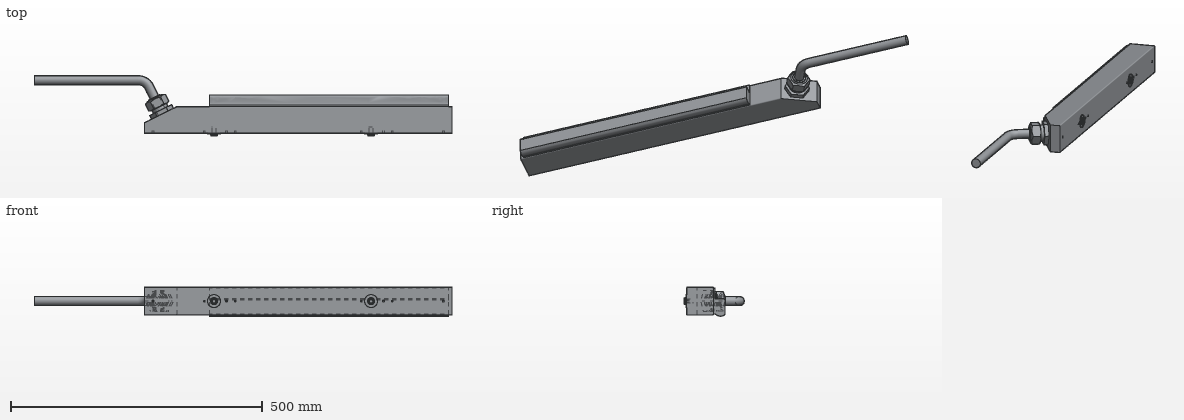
import cadquery as cq
import math


housing_length = 611.0
housing_depth = 53.0
housing_height = 55.5
housing_edge_radius = 2.1
end_face_depth = 21.0
bevel_angle = 26.5

screw_positions = [138.0, 450.0]
washer_diameter = 26.0
washer_thickness = 2.0
head_diameter = 14.0
head_top_diameter = 12.0
head_height = 3.0
socket_across_flats = 7.0
socket_depth = 2.0
shank_diameter = 7.5
shank_length = 12.5

end_hole_inset = 17.0
marker_hole_diameter = 3.7
marker_hole_offset = 25.0
pilot_hole_diameter = 3.1
pilot_hole_offsets = [-19.0, 42.0]
small_hole_depth = 4.0

strip_start = 129.0
strip_length = 475.0
foot_thickness = 3.0
foot_height = 51.0
strip_depth = 23.0
lip_root_top = 5.0
lip_root_bottom = foot_height / -2
lip_edge_top = 2.5
lip_edge_bottom = -26.5
lip_waist = 4.0
lip_crest = 5.0
lip_belly = -30.0

cable_diameter = 18.0
cable_start = -218.0
cable_center_depth = 105.0
bend_radius = 24.0
base_across_flats = 42.0
base_height = 8.0
neck_diameter = 32.0
neck_height = 7.0
nut_across_flats = 39.0
nut_height = 20.0
nut_front_rim_diameter = 33.0
nut_back_rim_diameter = 37.0
nut_chamfer_angle = 30
nut_collar_diameter = 26.0
nut_collar_height = 2.0

bevel_rise = housing_depth - end_face_depth
bevel_run = bevel_rise / math.tan(math.radians(bevel_angle))
turn = math.radians(90 - bevel_angle)
axis_x = -math.sin(math.radians(bevel_angle))
axis_y = math.cos(math.radians(bevel_angle))
gland_along_bevel = 0.56
gland_x = gland_along_bevel * bevel_run
gland_y = end_face_depth + gland_along_bevel * bevel_rise
gland_plane = cq.Plane(origin=(gland_x, gland_y, 0), xDir=(0, 0, 1), normal=(axis_x, axis_y, 0))


def front_plane(x, y=0.0):
    """Plane facing -Y at the given place along the housing."""
    return cq.Plane(origin=(x, y, 0), xDir=(1, 0, 0), normal=(0, -1, 0))


def make_hex(across_flats, height, offset):
    """Hexagonal prism on the gland axis, with flats at its top and bottom."""
    across_corners = across_flats / math.cos(math.radians(30))
    hexagon = cq.Workplane(gland_plane).workplane(offset=offset).transformed(rotate=(0, 0, 30))
    return hexagon.polygon(6, across_corners).extrude(height)


def front_hole(x, diameter, depth):
    return cq.Workplane(front_plane(x)).circle(diameter / 2).extrude(-depth)


def make_housing():
    body = (
        cq.Workplane("XY")
        .box(housing_length, housing_depth, housing_height, centered=(False, False, True))
        .edges("|X")
        .fillet(housing_edge_radius)
    )
    bevel = (
        cq.Workplane("XY")
        .moveTo(0, end_face_depth)
        .lineTo(bevel_run, housing_depth)
        .lineTo(0, housing_depth)
        .close()
        .extrude(housing_height, both=True)
    )
    body = body.cut(bevel)
    for x in [end_hole_inset, housing_length - end_hole_inset]:
        body = body.cut(front_hole(x, marker_hole_diameter, small_hole_depth))
    for x in screw_positions:
        body = body.cut(front_hole(x, shank_diameter, shank_length))
        body = body.cut(front_hole(x + marker_hole_offset, marker_hole_diameter, small_hole_depth))
        for offset in pilot_hole_offsets:
            body = body.cut(front_hole(x + offset, pilot_hole_diameter, small_hole_depth))
    return body


def make_washer(x):
    return (
        cq.Workplane(front_plane(x))
        .circle(washer_diameter / 2)
        .circle(shank_diameter / 2)
        .extrude(washer_thickness)
    )


def make_screw(x):
    """Socket screw: chamfered head on the washer, shank through it into the housing."""
    head_seat = front_plane(x, -washer_thickness)
    head = (
        cq.Workplane(head_seat)
        .circle(head_diameter / 2)
        .extrude(head_height)
        .faces("<Y")
        .chamfer((head_diameter - head_top_diameter) / 2)
    )
    shank = cq.Workplane(head_seat).circle(shank_diameter / 2).extrude(-washer_thickness - shank_length)
    socket = (
        cq.Workplane(head_seat)
        .workplane(offset=head_height)
        .polygon(6, socket_across_flats / math.cos(math.radians(30)))
        .extrude(-socket_depth)
    )
    return head.union(shank).cut(socket)


def make_strip():
    """Strip with a thin foot on the housing and a thick lip that has gently curved sides."""
    back = cq.Plane(origin=(strip_start, housing_depth, 0), xDir=(0, 1, 0), normal=(1, 0, 0))
    lip_depth = strip_depth - foot_thickness
    waist = (foot_thickness + 0.2 * lip_depth, lip_waist)
    crest = (foot_thickness + 0.75 * lip_depth, lip_crest)
    belly = (foot_thickness + 0.7 * lip_depth, lip_belly)
    return (
        cq.Workplane(back)
        .moveTo(0, foot_height / 2)
        .lineTo(foot_thickness, foot_height / 2)
        .lineTo(foot_thickness, lip_root_top)
        .spline([waist, crest, (strip_depth, lip_edge_top)], includeCurrent=True)
        .lineTo(strip_depth, lip_edge_bottom)
        .spline([belly, (foot_thickness, lip_root_bottom)], includeCurrent=True)
        .lineTo(0, lip_root_bottom)
        .close()
        .extrude(strip_length)
    )


def make_cable():
    """Cable that runs along X, bends and enters the housing squarely to the bevel."""
    bend_drop = bend_radius * (1 - math.cos(turn))
    bend_end_y = cable_center_depth - bend_drop
    bend_end_x = gland_x + (bend_end_y - gland_y) * axis_x / axis_y
    bend_start_x = bend_end_x - bend_radius * math.sin(turn)
    bend_mid = (
        bend_start_x + bend_radius * math.sin(turn / 2),
        cable_center_depth - bend_radius * (1 - math.cos(turn / 2)),
    )
    path = (
        cq.Workplane("XY")
        .moveTo(cable_start, cable_center_depth)
        .lineTo(bend_start_x, cable_center_depth)
        .threePointArc(bend_mid, (bend_end_x, bend_end_y))
        .lineTo(gland_x, gland_y)
    )
    start = cq.Plane(origin=(cable_start, cable_center_depth, 0), xDir=(0, 1, 0), normal=(1, 0, 0))
    return cq.Workplane(start).circle(cable_diameter / 2).sweep(path)


def gland_bore():
    gland_height = base_height + neck_height + nut_height + nut_collar_height
    return cq.Workplane(gland_plane).circle(cable_diameter / 2).extrude(gland_height)


def make_gland_body():
    neck = cq.Workplane(gland_plane).circle(neck_diameter / 2).extrude(base_height + neck_height)
    return make_hex(base_across_flats, base_height, 0).union(neck).cut(gland_bore())


def make_gland_nut():
    """Hexagonal cap nut with its corners turned off at both ends and a collar around the cable."""
    seat = base_height + neck_height
    cone_slope = math.tan(math.radians(nut_chamfer_angle))
    nut = make_hex(nut_across_flats, nut_height, seat)
    ends = [
        (seat, nut_front_rim_diameter, gland_plane.zDir),
        (seat + nut_height, nut_back_rim_diameter, -gland_plane.zDir),
    ]
    for far_end, rim_diameter, direction in ends:
        cone_radius = rim_diameter / 2 + nut_height / cone_slope
        far_center = gland_plane.toWorldCoords((0, 0, far_end))
        cone = cq.Solid.makeCone(cone_radius, 0, cone_radius * cone_slope, pnt=far_center, dir=direction)
        nut = nut.intersect(cq.Workplane(cone))
    collar = (
        cq.Workplane(gland_plane)
        .workplane(offset=seat + nut_height)
        .circle(nut_collar_diameter / 2)
        .extrude(nut_collar_height)
    )
    return nut.union(collar).cut(gland_bore())


housing = make_housing()
washers = [make_washer(x) for x in screw_positions]
screws = [make_screw(x) for x in screw_positions]
strip = make_strip()
cable = make_cable()
gland_body = make_gland_body()
gland_nut = make_gland_nut()

result = cq.Compound.makeCompound(
    [
        housing.val(),
        *[washer.val() for washer in washers],
        *[screw.val() for screw in screws],
        strip.val(),
        cable.val(),
        gland_body.val(),
        gland_nut.val(),
    ]
)